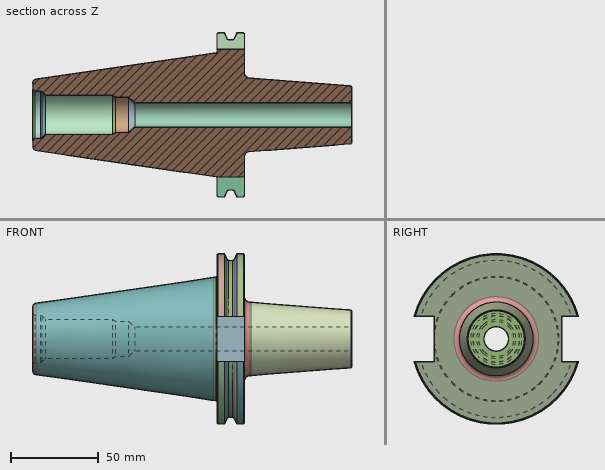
import cadquery as cq

total_length = 181.6
flange_start = 104.8
flange_width = 15.8
flange_end = flange_start + flange_width

taper_ratio = 7 / 24
collar_radius = 70.3 / 2
collar_start = 102.8
taper_small_radius = collar_radius - collar_start * taper_ratio / 2
taper_edge_fillet = 2.2
collar_root_fillet = 0.5

flange_radius = 97.2 / 2
rim_chamfer = 0.7
groove_center = flange_start + flange_width / 2
groove_floor_width = 3.5
groove_mouth_width = 7.0
groove_depth = 3.8
groove_corner_fillet = 0.9

slot_width = 25.8
slot_floor_front = 35.5
slot_floor_back = 37.5

nose_root_radius = 42.0 / 2
nose_tip_radius = 33.0 / 2
nose_taper_start = 124.5
nose_root_fillet = 3.0
nose_tip_chamfer = 0.5

through_radius = 13.8 / 2
mouth_radius = 29.0 / 2
entry_radius = 26.7 / 2
entry_depth = 4.5
step_radius = 26.2 / 2
step_depth = 5.3
thread_radius = 22.2 / 2
thread_start = 7.3
thread_depth = 45.4
socket_radius = 20.0 / 2
socket_start = 47.2
socket_depth = 54.5
socket_cone_depth = 58.1
mouth_chamfer = mouth_radius - entry_radius

selection_margin = 0.2


def revolve_about_x(profile):
    return profile.close().revolve(360, (0, 0, 0), (1, 0, 0))


def circle_at(x, radius):
    """Select the circular edges around X that lie at x and within the given radius."""
    reach = radius + selection_margin
    return cq.selectors.BoxSelector(
        (x - selection_margin, -reach, -reach),
        (x + selection_margin, reach, reach),
        boundingbox=True,
    )


def make_taper():
    profile = (
        cq.Workplane("XY")
        .lineTo(0, taper_small_radius)
        .lineTo(collar_start, collar_radius)
        .lineTo(flange_start, collar_radius)
        .lineTo(flange_start, 0)
    )
    return revolve_about_x(profile).edges("<X").fillet(taper_edge_fillet)


def make_flange():
    blank = (
        cq.Workplane("YZ", origin=(flange_start, 0, 0))
        .circle(flange_radius)
        .extrude(flange_width)
        .edges()
        .chamfer(rim_chamfer)
    )
    floor_radius = flange_radius - groove_depth
    groove = (
        cq.Workplane("XY")
        .moveTo(groove_center - groove_mouth_width / 2, flange_radius)
        .lineTo(groove_center - groove_floor_width / 2, floor_radius)
        .lineTo(groove_center + groove_floor_width / 2, floor_radius)
        .lineTo(groove_center + groove_mouth_width / 2, flange_radius)
    )
    grooved = blank.cut(revolve_about_x(groove))
    for side in (-1, 1):
        corner = circle_at(groove_center + side * groove_floor_width / 2, floor_radius)
        grooved = grooved.edges(corner).fillet(groove_corner_fillet)
    return grooved


def make_drive_slot(side, floor):
    depth = flange_radius - floor
    return cq.Workplane("XY").box(flange_width, depth, slot_width).translate(
        (groove_center, side * (floor + depth / 2), 0)
    )


def make_nose():
    profile = (
        cq.Workplane("XY")
        .moveTo(flange_end, 0)
        .lineTo(flange_end, nose_root_radius)
        .lineTo(nose_taper_start, nose_root_radius)
        .lineTo(total_length, nose_tip_radius)
        .lineTo(total_length, 0)
    )
    return revolve_about_x(profile).edges(">X").chamfer(nose_tip_chamfer)


def make_bore():
    profile = (
        cq.Workplane("XY")
        .lineTo(0, mouth_radius)
        .lineTo(mouth_chamfer, entry_radius)
        .lineTo(entry_depth, entry_radius)
        .lineTo(entry_depth, step_radius)
        .lineTo(step_depth, step_radius)
        .lineTo(thread_start, thread_radius)
        .lineTo(thread_depth, thread_radius)
        .lineTo(socket_start, socket_radius)
        .lineTo(socket_depth, socket_radius)
        .lineTo(socket_cone_depth, through_radius)
        .lineTo(total_length, through_radius)
        .lineTo(total_length, 0)
    )
    return revolve_about_x(profile)


flange = (
    make_flange()
    .cut(make_drive_slot(-1, slot_floor_front))
    .cut(make_drive_slot(1, slot_floor_back))
)
body = make_taper().union(flange).union(make_nose())
body = body.edges(circle_at(flange_start, collar_radius)).fillet(collar_root_fillet)
body = body.edges(circle_at(flange_end, nose_root_radius)).fillet(nose_root_fillet)
result = body.cut(make_bore())